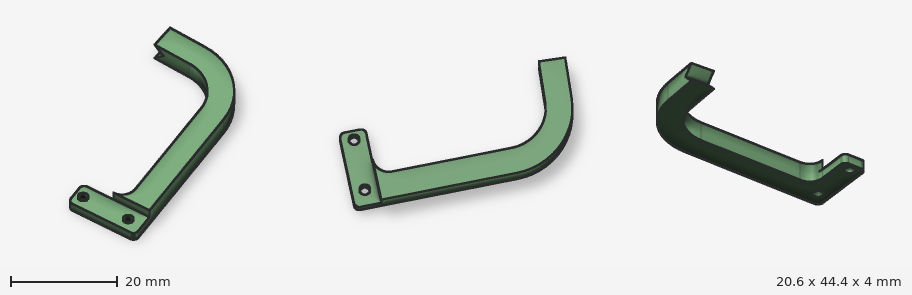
import cadquery as cq
import math

arm_width = 5.0
thickness = 4.0
plate_length = 14.87
plate_depth = 5.0
plate_thickness = thickness / 2
plate_corner_radius = 1.0
hole_diameter = 2.0
hole_spacing = 10.0
hole_inset = 3.15
root_fillet_radius = 3.0
bend_start_y = 31.0
bend_outer_radius = 13.0
bend_angle = 87.0
tip_length = 8.0
notch_depth = thickness / 2

bend_inner_radius = bend_outer_radius - arm_width
bend_center_x = -bend_outer_radius
tip_tilt = 90.0 - bend_angle


def bend_point(radius, angle):
    """Point on the bend at an angle in degrees, measured from +X."""
    turn = math.radians(angle)
    return (bend_center_x + radius * math.cos(turn), bend_start_y + radius * math.sin(turn))


def along_tip(point):
    """Move a point by the tip length, tangent to the end of the bend."""
    turn = math.radians(bend_angle)
    return (point[0] - tip_length * math.sin(turn), point[1] + tip_length * math.cos(turn))


outer_bend_end = bend_point(bend_outer_radius, bend_angle)
inner_bend_end = bend_point(bend_inner_radius, bend_angle)
outer_tip = along_tip(outer_bend_end)
inner_tip = along_tip(inner_bend_end)


def make_arm():
    """Straight arm with a root fillet, a bend and a straight tip."""
    root_top = plate_depth + root_fillet_radius
    diagonal_gap = root_fillet_radius * (1 - math.sqrt(0.5))
    return (
        cq.Workplane("XY")
        .moveTo(0, plate_depth)
        .lineTo(0, bend_start_y)
        .threePointArc(bend_point(bend_outer_radius, bend_angle / 2), outer_bend_end)
        .lineTo(*outer_tip)
        .lineTo(*inner_tip)
        .lineTo(*inner_bend_end)
        .threePointArc(bend_point(bend_inner_radius, bend_angle / 2), (-arm_width, bend_start_y))
        .lineTo(-arm_width, root_top)
        .threePointArc(
            (-arm_width - diagonal_gap, plate_depth + diagonal_gap),
            (-arm_width - root_fillet_radius, plate_depth),
        )
        .close()
        .extrude(thickness)
    )


def make_plate():
    """Half-thickness mounting plate with two through holes."""
    plate = (
        cq.Workplane("XY")
        .box(plate_length, plate_depth, plate_thickness, centered=False)
        .translate((-plate_length, 0, 0))
    )
    free_corners = plate.edges("|Z and (<X or <Y)")
    plate = free_corners.fillet(plate_corner_radius)
    hole_xs = (-hole_inset, -hole_inset - hole_spacing)
    holes = (
        cq.Workplane("XY")
        .pushPoints([(x, plate_depth / 2) for x in hole_xs])
        .circle(hole_diameter / 2)
        .extrude(plate_thickness)
    )
    return plate.cut(holes)


def make_tip_notch():
    """V-shaped prism that notches the end face across the full arm width."""
    prism = (
        cq.Workplane("XZ")
        .polyline([(0, 0), (notch_depth, thickness / 2), (0, thickness)])
        .close()
        .extrude(arm_width, both=True)
    )
    prism = prism.rotate((0, 0, 0), (0, 0, 1), -tip_tilt)
    return prism.translate((inner_tip[0], inner_tip[1], 0))


result = make_arm().union(make_plate()).cut(make_tip_notch())